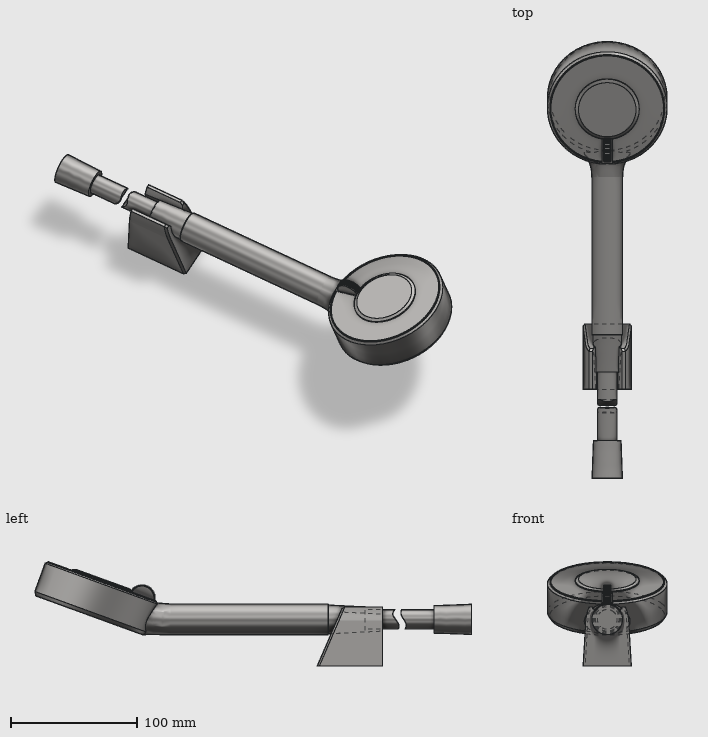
import cadquery as cq
import math


handle_radius = 12.25
handle_end_y = 43.0
shoulder_chamfer = 0.5
cone_top_radius = 11.5
cone_tip_radius = 10.0
cone_tip_y = 14.0
cone_slope = (cone_top_radius - cone_tip_radius) / (handle_end_y - cone_tip_y)

head_tilt = 20.0
head_radius = 47.48
head_thickness = 28.9
head_top_chamfer = 2.0
head_bottom_chamfer_width = 2.0
head_bottom_chamfer_height = 3.1
rim_groove_width = 0.8
rim_groove_depth = 0.8
face_center_y = 222.25
face_center_z = 30.14
button_radius = 25.4
button_height = 1.8
button_taper = 2.6

wheel_radius = 10.4
wheel_y = 190.7
wheel_z = 17.0
wheel_width = 6.2
wheel_chamfer = 1.0
knurl_count = 36
knurl_radius = 0.45
wheel_slot_width = 8.2
wheel_slot_depth = 1.0

neck_start_y = 168.0
neck_reach = 22.5
neck_widening = 13.65
neck_lift_share = 0.25
neck_stations = (0.0, 0.2, 0.4, 0.6, 0.75, 0.87, 0.97)

base_z = -37.1
bracket_top_z = 9.8
bracket_depth = 52.0
bracket_top_depth = 31.8
base_half_width = 19.2
waist_z = -1.0
waist_half_width = 17.0
shoulder_mid_z = 5.0
shoulder_mid_half_width = 16.0
top_half_width = 14.4
mouth_half_width = 11.8
slot_half_width = 7.9
lip_z = 3.5
slanted_edge_chamfer = 1.6

hose_radius = 7.8
nut_start_y = -40.6
nut_end_y = -70.45
nut_start_radius = 11.0
nut_end_radius = 12.1
upper_break = [(-9.7, hose_radius), (-8.3, 2.9), (-11.0, -1.1), (-12.9, -5.9), (-12.0, -hose_radius)]
lower_break = [(-15.0, hose_radius), (-14.8, 2.9), (-17.3, -1.1), (-17.7, -hose_radius)]


def y_cylinder(radius, y_start, y_end):
    """Cylinder on the Y axis."""
    plane = cq.Plane(origin=(0, y_start, 0), xDir=(1, 0, 0), normal=(0, 1, 0))
    return cq.Workplane(plane).circle(radius).extrude(y_end - y_start)


def y_revolve(profile):
    """Solid of revolution about Y from (radius, y) points."""
    return cq.Workplane("XY").polyline(profile).close().revolve(360, (0, 0, 0), (0, 1, 0))


def make_head():
    """Disc with a raised button, a rim groove and a shallow slot for the thumb wheel, tilted into place."""
    side_top = -head_top_chamfer
    groove_outer_radius = head_radius - head_top_chamfer
    groove_inner_radius = groove_outer_radius - rim_groove_width
    profile = (
        cq.Workplane("XZ").moveTo(0, button_height).lineTo(button_radius - button_taper, button_height)
        .lineTo(button_radius, button_height / 2).lineTo(button_radius, 0)
        .lineTo(groove_inner_radius, 0).lineTo(groove_inner_radius, -rim_groove_depth)
        .lineTo(groove_outer_radius, -rim_groove_depth).lineTo(groove_outer_radius, 0)
        .lineTo(head_radius, side_top)
        .lineTo(head_radius, head_bottom_chamfer_height - head_thickness)
        .lineTo(head_radius - head_bottom_chamfer_width, -head_thickness)
        .lineTo(0, -head_thickness).close()
    )
    slot_length = head_radius - button_radius
    wheel_slot = (
        cq.Workplane("XY").center(0, -button_radius - slot_length / 2).rect(wheel_slot_width, slot_length)
        .extrude(-wheel_slot_depth)
    )
    head = profile.revolve(360, (0, 0, 0), (0, 1, 0)).cut(wheel_slot)
    return head.rotate((0, 0, 0), (1, 0, 0), head_tilt).translate((0, face_center_y, face_center_z))


def make_thumb_wheel():
    """Chamfered wheel with a knurled rim, turning about X."""
    wheel = (
        cq.Workplane("YZ").circle(wheel_radius).extrude(wheel_width / 2, both=True)
        .faces("<X or >X").chamfer(wheel_chamfer)
    )
    knurls = (
        cq.Workplane("YZ").polarArray(wheel_radius, 0, 360, knurl_count).circle(knurl_radius)
        .extrude(wheel_width / 2, both=True)
    )
    return wheel.cut(knurls).translate((0, wheel_y, wheel_z))


def make_neck():
    """Elliptical sections that widen and rise from the handle into the head."""
    sections = cq.Workplane(cq.Plane(origin=(0, neck_start_y, 0), xDir=(-1, 0, 0), normal=(0, 1, 0)))
    previous_station = 0.0
    previous_lift = 0.0
    for station in neck_stations:
        widening = neck_widening * (1 - math.sqrt(1 - station**2))
        lift = neck_lift_share * widening
        sections = sections.workplane(offset=(station - previous_station) * neck_reach)
        sections = sections.center(0, lift - previous_lift)
        sections = sections.ellipse(handle_radius + widening, handle_radius + lift)
        previous_station = station
        previous_lift = lift
    return sections.loft()


def make_handset():
    """Head, thumb wheel, neck and handle with its conical end."""
    handle = y_revolve([
        (0, cone_tip_y),
        (cone_tip_radius, cone_tip_y),
        (cone_top_radius, handle_end_y),
        (handle_radius - shoulder_chamfer, handle_end_y),
        (handle_radius, handle_end_y + shoulder_chamfer),
        (handle_radius, neck_start_y),
        (0, neck_start_y),
    ])
    return make_head().union(make_neck()).union(handle).union(make_thumb_wheel(), clean=False)


def make_bracket():
    section = (
        cq.Workplane("XZ").moveTo(-base_half_width, base_z).lineTo(base_half_width, base_z)
        .lineTo(waist_half_width, waist_z)
        .threePointArc((shoulder_mid_half_width, shoulder_mid_z), (top_half_width, bracket_top_z))
        .lineTo(-top_half_width, bracket_top_z)
        .threePointArc((-shoulder_mid_half_width, shoulder_mid_z), (-waist_half_width, waist_z))
        .close().extrude(-bracket_depth)
    )
    side = (
        cq.Workplane("YZ")
        .polyline([(0, base_z), (bracket_depth, base_z), (bracket_top_depth, bracket_top_z), (0, bracket_top_z)])
        .close().extrude(base_half_width, both=True)
    )
    body = section.intersect(side)
    slant = cq.Vector(0, bracket_top_z - base_z, bracket_depth - bracket_top_depth)
    front_edges = body.faces(cq.selectors.DirectionMinMaxSelector(slant, True)).edges("not <Z")
    body = front_edges.chamfer(slanted_edge_chamfer)

    tip_at_rear = cone_tip_radius - cone_slope * cone_tip_y
    far_radius = cone_tip_radius + cone_slope * (bracket_depth - cone_tip_y)
    seat = y_revolve([(0, 0), (tip_at_rear, 0), (far_radius, bracket_depth), (0, bracket_depth)])
    slot = (
        cq.Workplane("XZ")
        .polyline([
            (-slot_half_width, 0), (slot_half_width, 0), (slot_half_width, lip_z),
            (mouth_half_width, bracket_top_z), (-mouth_half_width, bracket_top_z), (-slot_half_width, lip_z),
        ])
        .close().extrude(-bracket_depth)
    )
    return body.cut(seat).cut(slot)


def hose_piece(y_rear, y_front, break_points, break_side_y):
    """Hose length between the given ends, keeping only break_side_y's side of the wavy break."""
    keep = (
        cq.Workplane("YZ").moveTo(*break_points[0]).spline(break_points[1:], includeCurrent=True)
        .lineTo(break_side_y, -hose_radius).lineTo(break_side_y, hose_radius).close()
        .extrude(hose_radius, both=True)
    )
    return y_cylinder(hose_radius, y_rear, y_front).intersect(keep)


def make_upper_hose():
    return hose_piece(nut_start_y, cone_tip_y, upper_break, cone_tip_y)


def make_lower_hose():
    hose = hose_piece(nut_start_y, cone_tip_y, lower_break, nut_start_y)
    nut = y_revolve([
        (0, nut_end_y), (nut_end_radius, nut_end_y), (nut_start_radius, nut_start_y), (0, nut_start_y),
    ])
    return hose.union(nut)


handset = make_handset()
bracket = make_bracket()
upper_hose = make_upper_hose()
lower_hose = make_lower_hose()

result = cq.Compound.makeCompound([handset.val(), bracket.val(), upper_hose.val(), lower_hose.val()])